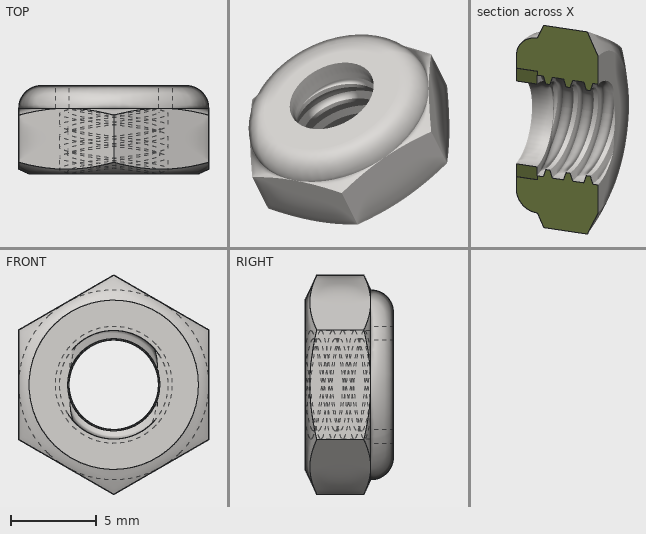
import cadquery as cq
import math


hex_sides = 6
across_flats = 11.11
total_length = 5.17
dome_length = 1.33
front_face_diameter = 9.9
chamfer_angle = 25.0

thread_major_diameter = 6.35
thread_minor_diameter = 5.39
thread_starts = 2
thread_pitch = 1.27
crest_half_angle = 19.5
root_start_angle = 41.5
flank_overrun = 0.1

ring_bore_diameter = 5.22
ring_outer_diameter = 6.84

quarter_turn = 90
hex_length = total_length - dome_length
corner_radius = across_flats / math.sqrt(3)
dome_base_radius = across_flats / 2
front_face_radius = front_face_diameter / 2
chamfer_slope = math.tan(math.radians(chamfer_angle))
front_chamfer_depth = (corner_radius - front_face_radius) * chamfer_slope
rear_chamfer_depth = (corner_radius - dome_base_radius) * chamfer_slope
thread_lead = thread_starts * thread_pitch


def along_y(y=0.0):
    """Workplane normal to the nut axis at depth y, with local Z pointing to +Y."""
    return cq.Workplane("XZ", origin=(0, y, 0)).transformed(rotate=(180, 0, 0))


def polar(radius, degrees):
    angle = math.radians(degrees)
    return (radius * math.cos(angle), radius * math.sin(angle))


def hex_with_chamfers():
    """Hex prism with corners on the Z axis, trimmed by a cone at each end."""
    prism = (
        along_y()
        .polygon(hex_sides, 2 * corner_radius)
        .extrude(hex_length)
        .rotate((0, 0, 0), (0, 1, 0), quarter_turn)
    )
    envelope = (
        cq.Workplane("XY")
        .moveTo(0, 0)
        .lineTo(front_face_radius, 0)
        .lineTo(corner_radius, front_chamfer_depth)
        .lineTo(corner_radius, hex_length - rear_chamfer_depth)
        .lineTo(dome_base_radius, hex_length)
        .lineTo(0, hex_length)
        .close()
        .revolve(360, (0, 0, 0), (0, 1, 0))
    )
    return prism.intersect(envelope)


def domed_collar():
    """Collar whose quarter-round rim spans its whole length, from the hex to the rear face."""
    rear_face_radius = dome_base_radius - dome_length
    rim_offset = dome_length * math.sin(math.pi / 4)
    return (
        cq.Workplane("XY")
        .moveTo(0, hex_length)
        .lineTo(dome_base_radius, hex_length)
        .threePointArc(
            (rear_face_radius + rim_offset, hex_length + rim_offset),
            (rear_face_radius, total_length),
        )
        .lineTo(0, total_length)
        .close()
        .revolve(360, (0, 0, 0), (0, 1, 0))
    )


def groove_blank():
    """Twisted solid that forms the groove flanks, running past both thread diameters."""
    major = thread_major_diameter / 2
    minor = thread_minor_diameter / 2
    flank_slope = (root_start_angle - crest_half_angle) / (major - minor)

    def flank_point(radius, side, ridge_angle):
        angle = crest_half_angle + flank_slope * (radius - minor)
        return polar(radius, ridge_angle + side * angle)

    inner = minor - flank_overrun
    outer = major + flank_overrun
    middle = (inner + outer) / 2
    start_spacing = 360 / thread_starts
    section = along_y().moveTo(*flank_point(inner, -1, 0))
    for start in range(thread_starts):
        ridge = start * start_spacing
        next_ridge = ridge + start_spacing
        section = (
            section
            .threePointArc(polar(inner, ridge), flank_point(inner, 1, ridge))
            .threePointArc(flank_point(middle, 1, ridge), flank_point(outer, 1, ridge))
            .threePointArc(polar(outer, ridge + start_spacing / 2), flank_point(outer, -1, next_ridge))
            .threePointArc(flank_point(middle, -1, next_ridge), flank_point(inner, -1, next_ridge))
        )
    return section.close().twistExtrude(hex_length, 360 * hex_length / thread_lead)


def thread_core():
    """Minor bore and helical grooves as one solid; ridges face -X and +X at the front."""
    root_cylinder = along_y().circle(thread_major_diameter / 2).extrude(hex_length)
    minor_bore = along_y().circle(thread_minor_diameter / 2).extrude(hex_length)
    return groove_blank().intersect(root_cylinder).union(minor_bore)


def make_housing():
    """Hex and collar as one solid, threaded in front and bored behind for the ring."""
    ring_seat = along_y(hex_length).circle(ring_outer_diameter / 2).extrude(dome_length)
    return hex_with_chamfers().union(domed_collar()).cut(ring_seat).cut(thread_core())


def make_locking_ring():
    return (
        along_y(hex_length)
        .circle(ring_outer_diameter / 2)
        .circle(ring_bore_diameter / 2)
        .extrude(dome_length)
    )


housing = make_housing()
locking_ring = make_locking_ring()

result = cq.Compound.makeCompound([housing.val(), locking_ring.val()])